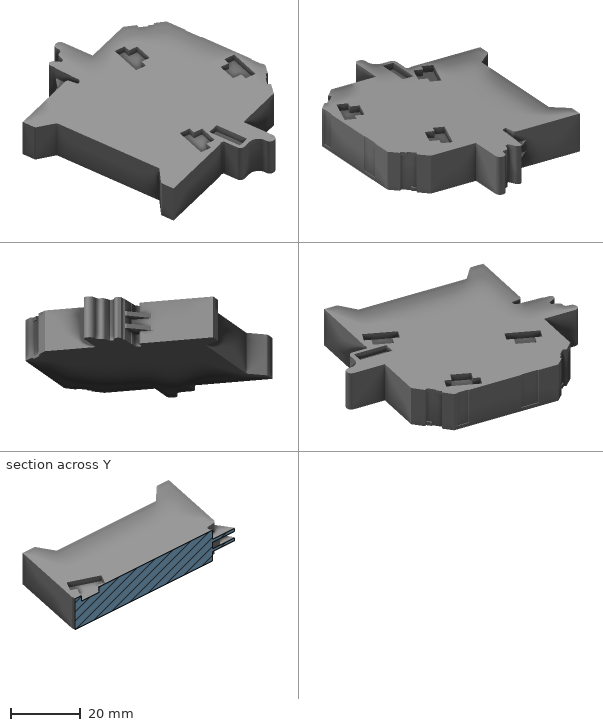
import cadquery as cq

thickness = 12.0
height = 59.95
half_length = 37.85
half_body = 26.1
corner_chamfer = 9.0

foot_recess = 5.1
foot_recess_half = 17.7
foot_toe = 21.8
foot_radius = 0.8

lug_top = 35.6
lug_radius = 1.6
lug_bottom = lug_top - 2 * lug_radius
lug_center_x = half_length - lug_radius
lug_center_y = lug_top - lug_radius

finger_x = -34.7
finger_root_radius = 1.05
upper_nose_top = 30.95
upper_nose_end = (-34.1, 30.05)
notch_x = -31.95
notch_top = 29.2
notch_bottom = 28.2
finger_arc_start = (-33.5, 27.4)
finger_arc_middle = (-34.4, 26.8)
finger_arc_end = (finger_x, 26.0)
finger_bottom = 25.1
finger_bottom_left = -34.1
slot_mouth_top = 24.9
slot_top = 24.6
slot_nose_x = -23.6
slot_nose_middle = (-22.85, 24.15)
slot_end = (-22.55, 23.4)
slot_heel_middle = (-22.6, 23.1)
slot_heel_end = (-23.0, 22.85)
slot_lip_start = (-25.1, 22.55)
slot_lip_middle = (-25.8, 22.3)
slot_lip_end = (-half_body, 21.7)

block_side = 32.5
block_bottom = 25.3
block_corner = 1.5
block_root_radius = 3.2
relief_reach = 1.0
relief_bite = 0.2
relief_height = 1.5

rib_thickness = 1.3
rib_bottoms = (3.55, 7.2)
rib_tip = (-31.35, 24.5)
rib_foot_y = 18.8
rib_foot_pad = 0.15
rib_pad_bottom = 18.3
rib_root_x = slot_end[0]
rib_root_y = 22.7

pocket_depth = 2.1
tee_length = 10.45
tee_bar = 3.5
tee_stem = 6.1
tee_height = 6.35
tee_tilt = -20.0
tee_places = ((-17.1, 39.0, 0), (12.0, 56.9, 180), (18.7, 19.45, 0))
window_left, window_right = 20.5, 31.1
window_bottom, window_top = 26.4, 30.05
window_draft = 0.2

notch_start, notch_end = 3.6, 8.6
notch_depth = 1.05
notch_bevel = 0.3
tab_thickness = 1.1
tab_setback = 0.7
upper_tab_end = 5.6
lower_tab_start = 6.7

edge_recesses = ((-10.6, -5.1), (12.35, 15.9))
edge_recess_depth = 0.2

overlap = 0.75


def body():
    """Flat plate with chamfered upper corners and two feet."""
    right_side = [
        (foot_recess_half, foot_recess),
        (foot_toe, 0),
        (half_body, 0),
        (half_body, height - corner_chamfer),
        (half_body - corner_chamfer, height),
    ]
    left_side = [(-x, y) for x, y in reversed(right_side)]
    plate = cq.Workplane("XY").polyline(right_side + left_side).close().extrude(thickness)
    for toe_x in (-foot_toe, foot_toe):
        toe = cq.selectors.NearestToPointSelector((toe_x, 0, thickness / 2))
        plate = plate.edges("|Z").edges(toe).fillet(foot_radius)
    return plate


def left_lug():
    """Rounded lug with a hook-shaped finger below it."""
    return (
        cq.Workplane("XY")
        .moveTo(-half_body + overlap, lug_top)
        .lineTo(-lug_center_x, lug_top)
        .tangentArcPoint((-half_length, lug_center_y), relative=False)
        .tangentArcPoint((-lug_center_x, lug_bottom), relative=False)
        .lineTo(finger_x - finger_root_radius, lug_bottom)
        .tangentArcPoint((finger_x, lug_bottom - finger_root_radius), relative=False)
        .lineTo(finger_x, upper_nose_top)
        .tangentArcPoint(upper_nose_end, relative=False)
        .lineTo(notch_x, notch_top)
        .lineTo(notch_x, notch_bottom)
        .lineTo(*finger_arc_start)
        .threePointArc(finger_arc_middle, finger_arc_end)
        .lineTo(finger_bottom_left, finger_bottom)
        .lineTo(notch_x, finger_bottom)
        .lineTo(notch_x, slot_mouth_top)
        .lineTo(slot_nose_x, slot_top)
        .lineTo(slot_nose_x, lug_top)
        .close()
        .extrude(thickness)
    )


def left_slot():
    """Round-ended slot that undercuts the left lug and runs into the body."""
    return (
        cq.Workplane("XY")
        .moveTo(-half_body, slot_top)
        .lineTo(slot_nose_x, slot_top)
        .threePointArc(slot_nose_middle, slot_end)
        .threePointArc(slot_heel_middle, slot_heel_end)
        .lineTo(*slot_lip_start)
        .threePointArc(slot_lip_middle, slot_lip_end)
        .close()
        .extrude(thickness)
    )


def ribs():
    """Two thin triangular webs under the left lug, with the slot filled between them."""
    profile = [
        rib_tip,
        (-half_body - rib_foot_pad, rib_foot_y),
        (-half_body - rib_foot_pad, rib_pad_bottom),
        (-half_body, rib_pad_bottom),
        (rib_root_x, rib_root_y),
        (rib_root_x, rib_tip[1] + overlap),
        (rib_tip[0], rib_tip[1] + overlap),
    ]
    lower, upper = rib_bottoms
    filler_length = rib_root_x + half_body
    filler_height = rib_tip[1] - rib_foot_y
    filler = cq.Workplane("XY").box(filler_length, filler_height, upper - lower, centered=False)
    webs = filler.translate((-half_body, rib_foot_y, lower))
    for bottom in rib_bottoms:
        web = cq.Workplane("XY").workplane(offset=bottom).polyline(profile).close()
        webs = webs.union(web.extrude(rib_thickness))
    return webs


def right_lug():
    """Rounded lug that flows into a square block."""
    root_x = block_side + block_root_radius
    root_y = lug_bottom - block_root_radius
    return (
        cq.Workplane("XY")
        .moveTo(half_body - overlap, lug_top)
        .lineTo(lug_center_x, lug_top)
        .tangentArcPoint((half_length, lug_center_y), relative=False)
        .tangentArcPoint((lug_center_x, lug_bottom), relative=False)
        .lineTo(root_x, lug_bottom)
        .tangentArcPoint((block_side, root_y), relative=False)
        .lineTo(block_side, block_bottom + block_corner)
        .tangentArcPoint((block_side - block_corner, block_bottom), relative=False)
        .lineTo(half_body - overlap, block_bottom)
        .close()
        .extrude(thickness)
    )


def right_relief():
    """Small rounded relief where the block meets the body side."""
    return (
        cq.Workplane("XY")
        .moveTo(half_body + relief_reach, block_bottom)
        .threePointArc(
            (half_body - relief_bite, block_bottom - relief_height / 2),
            (half_body, block_bottom - relief_height),
        )
        .lineTo(half_body + relief_reach, block_bottom - relief_height)
        .close()
        .extrude(thickness)
    )


def tee_pocket(x, y, turn):
    """Tilted tee-shaped pocket; (x, y) is the middle of the long side of its bar."""
    half_bar = tee_length / 2
    half_stem = tee_stem / 2
    profile = [
        (-half_bar, 0),
        (half_bar, 0),
        (half_bar, tee_bar),
        (half_stem, tee_bar),
        (half_stem, tee_height),
        (-half_stem, tee_height),
        (-half_stem, tee_bar),
        (-half_bar, tee_bar),
    ]
    return (
        cq.Workplane("XY")
        .polyline(profile)
        .close()
        .extrude(pocket_depth)
        .rotate((0, 0, 0), (0, 0, 1), tee_tilt + turn)
        .translate((x, y, thickness - pocket_depth))
    )


def window_pocket():
    """Rectangular pocket in the right lug whose upper wall leans inward."""
    floor = thickness - pocket_depth
    profile = [
        (window_bottom, thickness),
        (window_bottom, floor),
        (window_top - window_draft, floor),
        (window_top, thickness),
    ]
    return (
        cq.Workplane("YZ")
        .workplane(offset=window_left)
        .polyline(profile)
        .close()
        .extrude(window_right - window_left)
    )


def corner_notch():
    """Latch notch for the right chamfer, with a tab left at each face."""
    cut = (
        cq.Workplane("XY")
        .polyline([
            (notch_start, 0),
            (notch_start + notch_bevel, -notch_depth),
            (notch_end - notch_bevel, -notch_depth),
            (notch_end, 0),
        ])
        .close()
        .extrude(thickness)
    )
    tab_depth = notch_depth - tab_setback
    upper_tab = cq.Workplane("XY").box(
        upper_tab_end - notch_start, tab_depth, tab_thickness, centered=False
    ).translate((notch_start, -notch_depth, thickness - tab_thickness))
    lower_tab = cq.Workplane("XY").box(
        notch_end - lower_tab_start, tab_depth, tab_thickness, centered=False
    ).translate((lower_tab_start, -notch_depth, 0))
    return (
        cut.cut(upper_tab)
        .cut(lower_tab)
        .rotate((0, 0, 0), (0, 0, 1), -45)
        .translate((half_body - corner_chamfer, height, 0))
    )


def edge_recess(left, right):
    """Shallow recess in the upper edge, closed by a thin lip at the lower face."""
    return cq.Workplane("XY").box(
        right - left, edge_recess_depth, thickness - tab_thickness, centered=False
    ).translate((left, height - edge_recess_depth, tab_thickness))


result = body().union(left_lug()).cut(left_slot()).union(ribs())
result = result.union(right_lug()).cut(right_relief())
for x, y, turn in tee_places:
    result = result.cut(tee_pocket(x, y, turn))
result = result.cut(window_pocket())
notch = corner_notch()
result = result.cut(notch).cut(notch.mirror("YZ"))
for left, right in edge_recesses:
    result = result.cut(edge_recess(left, right))